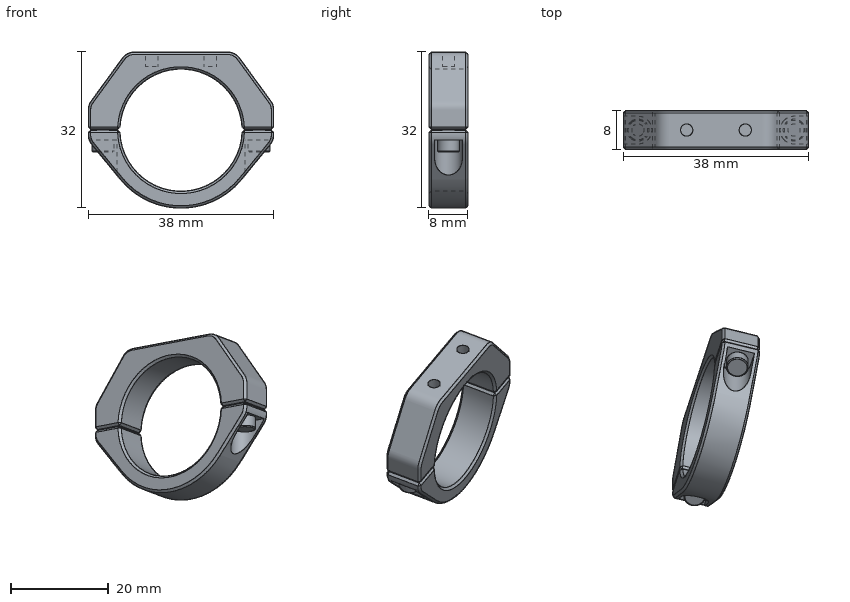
import cadquery as cq
import math


width = 38.0
depth = 8.0
bore_radius = 12.5
outer_radius = 16.0
split_gap = 0.2
edge_chamfer = 0.5
corner_radius = 3.0

top_flat_half = 11.1
shoulder_height = 5.13

side_drop = 2.05

mount_hole_diameter = 2.5
mount_hole_depth = 3.0
mount_hole_offset = 6.0

screw_offset = 16.0
screw_diameter = 2.5
screw_length = 7.98
head_diameter = 4.5
head_height = 2.47
head_chamfer = 0.23
pocket_diameter = 5.7
pocket_roof = -2.0

half_width = width / 2


def finish_half(outline, corner_edges, split_face):
    """Extrude an XZ outline, round its corners, cut the bore and chamfer the face rims."""
    body = outline.extrude(depth / 2, both=True)
    body = body.edges("|Y").edges(corner_edges).fillet(corner_radius)
    bore = cq.Workplane("XZ").circle(bore_radius).extrude(depth, both=True)
    body = body.cut(bore)
    rims = body.faces("<Y or >Y or " + split_face).edges()
    return rims.chamfer(edge_chamfer)


def upper_half():
    outline = (
        cq.Workplane("XZ")
        .moveTo(-half_width, split_gap)
        .lineTo(-half_width, shoulder_height)
        .lineTo(-top_flat_half, outer_radius)
        .lineTo(top_flat_half, outer_radius)
        .lineTo(half_width, shoulder_height)
        .lineTo(half_width, split_gap)
        .close()
    )
    body = finish_half(outline, "not <Z", "<Z")
    holes = (
        cq.Workplane("XY", origin=(0, 0, outer_radius))
        .pushPoints([(-mount_hole_offset, 0), (mount_hole_offset, 0)])
        .circle(mount_hole_diameter / 2)
        .extrude(-mount_hole_depth)
    )
    return body.cut(holes)


def lower_half():
    corner_distance = math.hypot(half_width, side_drop)
    tangent_angle = math.atan2(side_drop, half_width) + math.acos(outer_radius / corner_distance)
    tangent_x = outer_radius * math.cos(tangent_angle)
    tangent_z = -outer_radius * math.sin(tangent_angle)
    outline = (
        cq.Workplane("XZ")
        .moveTo(-half_width, 0)
        .lineTo(-half_width, -side_drop)
        .lineTo(-tangent_x, tangent_z)
        .threePointArc((0, -outer_radius), (tangent_x, tangent_z))
        .lineTo(half_width, -side_drop)
        .lineTo(half_width, 0)
        .close()
    )
    body = finish_half(outline, ">>Z[-2]", ">Z")
    return body.cut(screw_pockets())


def screw_cylinders(diameter, start_z, length):
    """One vertical cylinder on each screw axis, running from start_z by a signed length."""
    return (
        cq.Workplane("XY", origin=(0, 0, start_z))
        .pushPoints([(-screw_offset, 0), (screw_offset, 0)])
        .circle(diameter / 2)
        .extrude(length)
    )


def screw_pockets():
    """Round-backed pockets around the screw heads, open towards the outer sides."""
    round_backs = screw_cylinders(pocket_diameter, pocket_roof, -outer_radius)
    openings = (
        cq.Workplane("XY", origin=(0, 0, pocket_roof))
        .pushPoints([(-half_width, 0), (half_width, 0)])
        .rect(2 * (half_width - screw_offset), pocket_diameter)
        .extrude(-outer_radius)
    )
    return round_backs.union(openings)


def screws():
    heads = screw_cylinders(head_diameter, pocket_roof, -head_height)
    heads = heads.faces("<Z").edges().chamfer(head_chamfer)
    shanks = screw_cylinders(screw_diameter, pocket_roof, screw_length)
    return heads.union(shanks)


result = upper_half().union(lower_half()).union(screws())